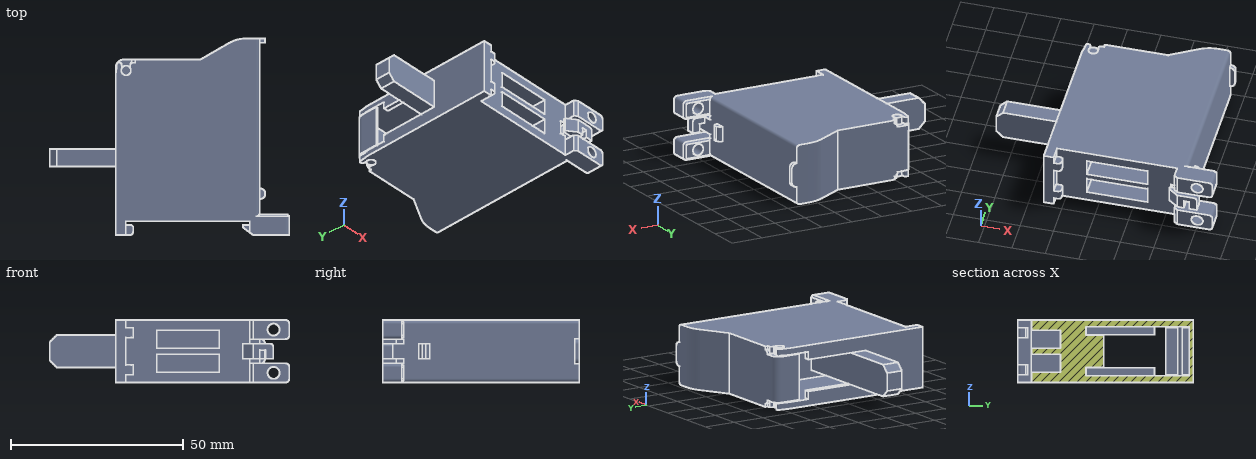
import cadquery as cq
import math


width = 18.2
half_width = width / 2
housing_length = 41.95
total_height = 57.2
belly = 4.05
shoulder = 51.1
hump_start = 24.7
hump_end = 38.0
hump_slope = math.radians(30)
right_edge_radius = 1.1

left_foot_length = 3.0
right_foot_start = 38.95
right_foot_end = 50.5
right_foot_height = 6.1
foot_gap = 7.0
foot_top_chamfer = 0.6
foot_corner_radius = 1.1
foot_hole_diameter = 3.4
foot_hole_x = 45.9
hook_top = 3.0
left_hook_end = 5.15
left_hook_width = 2.9
left_hook_center_z = 5.45
left_hook_top_chamfer = 0.55
left_hook_bottom_radius = 1.05

latch_tip = 37.0
latch_tip_bottom = 2.2
latch_slope_end = 40.0
latch_end = 45.85
latch_half_width = 2.2
latch_neck_start = 40.15
latch_corner_radius = 0.9
latch_notch_length = 1.6
latch_notch_top = 0.35

stud_reach = 1.5
knob_bottom = 10.45
knob_top = 13.65
knob_flat = 1.1
knob_bulge_reach = 1.05
knob_bulge_half = 1.2
knob_width = 4.45
tab_height = 1.3
tab_width = 7.25

wall = 1.7
cavity_depth = 20.9
cavity_top = 49.85
cavity_half_width = 7.1
window_step = 39.9
slot_start = 11.9
slot_end = 30.1
slot_width = 5.15
slot_center_z = 3.5
slot_depth = 8.35

lever_length = 19.2
lever_width = 9.55
lever_bottom = 19.9
lever_thickness = 5.15
lever_chamfer = 2.1

flap_bottom = 43.0
flap_half_width = 6.9
flap_thickness = 0.6
flap_top_thickness = 0.9
flap_corner_radius = 2.45
flap_top_end = 4.75
hinge_x = 3.1
hinge_y = 47.9
hinge_radius = 1.4
neck_half_width = 1.45
groove_end = 5.7
lip_half_width = 8.1
lip_radius = 0.9
pin_recess = 0.1

prong_top = 50.2
prong_root = 46.0
prong_front_arc = ((0.1, 46.9), (0.2, 47.75))
prong_corner_arc = ((0.4, 49.7), (0.55, 50.05), (0.9, prong_top))
prong_back_arc = ((1.2, prong_top), (1.6, 50.0), (1.8, 49.15))
ledge_arc = ((4.3, 49.15), (4.4, 49.9))

margin = 0.7


def box(x0, x1, y0, y1, z0, z1):
    return cq.Workplane("XY", origin=(x0, y0, z0)).box(x1 - x0, y1 - y0, z1 - z0, centered=False)


def slab(x0, x1, y0, y1, half_z):
    return box(x0, x1, y0, y1, -half_z, half_z)


def make_housing():
    rise = total_height - shoulder
    run = hump_end - hump_start
    slope = math.tan(hump_slope)
    radius = (run * slope - rise) / (math.sin(hump_slope) * slope - 1 + math.cos(hump_slope))

    def hump_point(angle):
        return (hump_end - radius * math.sin(angle), total_height - radius * (1 - math.cos(angle)))

    outline = (
        cq.Workplane("XY")
        .moveTo(0, 0)
        .lineTo(left_foot_length, 0)
        .lineTo(left_foot_length, belly)
        .lineTo(housing_length, belly)
        .lineTo(housing_length, total_height)
        .lineTo(hump_end, total_height)
        .threePointArc(hump_point(hump_slope / 2), hump_point(hump_slope))
        .lineTo(hump_start, shoulder)
        .lineTo(0, shoulder)
        .close()
    )
    housing = outline.extrude(half_width, both=True)
    return housing.edges("|Y and >X").fillet(right_edge_radius)


def make_right_foot():
    slope = latch_tip_bottom / (latch_slope_end - latch_tip)
    foot = (
        cq.Workplane("XY")
        .polyline([
            (right_foot_start, right_foot_height),
            (right_foot_start, (latch_slope_end - right_foot_start) * slope),
            (latch_slope_end, 0),
            (right_foot_end, 0),
            (right_foot_end, right_foot_height),
        ])
        .close()
        .extrude(half_width - foot_gap / 2)
        .translate((0, 0, foot_gap / 2))
    )
    foot = foot.edges("|Y and >X").fillet(foot_corner_radius)
    foot = foot.faces(">Y").edges().chamfer(foot_top_chamfer)
    hole = (
        cq.Workplane("XZ", origin=(foot_hole_x, 0, (half_width + foot_gap / 2) / 2))
        .circle(foot_hole_diameter / 2)
        .extrude(-right_foot_height)
    )
    return foot.cut(hole)


def make_left_hook():
    hook = slab(0, left_hook_end, 0, hook_top, left_hook_width / 2)
    hook = hook.edges("|Z and >X and >Y").chamfer(left_hook_top_chamfer)
    hook = hook.edges("|Z and >X and <Y").fillet(left_hook_bottom_radius)
    return hook.translate((0, 0, left_hook_center_z))


def make_latch():
    latch = (
        cq.Workplane("XY")
        .polyline([
            (latch_tip, hook_top),
            (latch_tip, latch_tip_bottom),
            (latch_slope_end, 0),
            (latch_end, 0),
            (latch_end, hook_top),
        ])
        .close()
        .extrude(latch_half_width, both=True)
        .edges("|Y and >X and >Z")
        .fillet(latch_corner_radius)
    )
    notch = box(
        housing_length, housing_length + latch_notch_length, -margin, hook_top + margin,
        -latch_half_width - margin, latch_notch_top,
    )
    neck = slab(latch_neck_start, housing_length, 0, right_foot_height + margin, latch_half_width)
    return latch.cut(notch).union(neck)


def make_knob():
    middle = (knob_bottom + knob_top) / 2
    flat_x = housing_length + stud_reach
    bulge_x = housing_length + knob_bulge_reach
    return (
        cq.Workplane("XY")
        .moveTo(housing_length - margin, knob_bottom)
        .lineTo(housing_length, knob_bottom)
        .threePointArc((bulge_x, middle - knob_bulge_half), (flat_x, middle - knob_flat / 2))
        .lineTo(flat_x, middle + knob_flat / 2)
        .threePointArc((bulge_x, middle + knob_bulge_half), (housing_length, knob_top))
        .lineTo(housing_length - margin, knob_top)
        .close()
        .extrude(knob_width / 2, both=True)
    )


def make_tab():
    tab_end = housing_length + stud_reach
    tab = slab(housing_length - margin, tab_end, total_height - tab_height, total_height, tab_width / 2)
    return tab.edges("|Y and >X").fillet(stud_reach)


def make_lever():
    lever = slab(
        -lever_length, cavity_depth + margin, lever_bottom, lever_bottom + lever_thickness, lever_width / 2,
    )
    return lever.edges("|Y and <X").chamfer(lever_chamfer)


def make_cavity():
    cavity = slab(wall, cavity_depth, lever_bottom, cavity_top, cavity_half_width)
    narrow_window = slab(-margin, wall, lever_bottom, window_step, lever_width / 2)
    wide_window = slab(-margin, flap_top_end, window_step, shoulder + margin, cavity_half_width)
    return cavity.union(narrow_window).union(wide_window)


def make_corner_relief():
    return (
        cq.Workplane("XY")
        .moveTo(-margin, prong_root)
        .lineTo(0, prong_root)
        .threePointArc(*prong_front_arc)
        .lineTo(*prong_corner_arc[0])
        .threePointArc(*prong_corner_arc[1:])
        .lineTo(*prong_back_arc[0])
        .threePointArc(*prong_back_arc[1:])
        .lineTo(prong_back_arc[-1][0], hinge_y)
        .lineTo(ledge_arc[0][0], hinge_y)
        .lineTo(*ledge_arc[0])
        .threePointArc(ledge_arc[1], (flap_top_end, prong_top))
        .lineTo(groove_end, prong_top)
        .lineTo(groove_end, shoulder + margin)
        .lineTo(-margin, shoulder + margin)
        .close()
        .extrude(half_width, both=True)
    )


def make_groove_lip():
    lip = slab(flap_top_end, groove_end, prong_top, shoulder, lip_half_width)
    return lip.edges("|Y and <X").fillet(lip_radius)


def make_pin(half_length):
    return cq.Workplane("XY").center(hinge_x, hinge_y).circle(hinge_radius).extrude(half_length, both=True)


def make_flap():
    shell = slab(0, flap_top_end, flap_bottom, shoulder, flap_half_width)
    shell = shell.edges("|Z and <X and >Y").fillet(flap_corner_radius)
    inside = slab(
        flap_thickness, flap_top_end, flap_bottom, shoulder - flap_top_thickness, flap_half_width,
    )
    inside = inside.edges("|Z and <X and >Y").fillet(flap_corner_radius - flap_thickness)
    neck = slab(
        hinge_x - neck_half_width, hinge_x + neck_half_width, hinge_y, shoulder - flap_top_thickness,
        flap_half_width,
    )
    return shell.cut(inside).union(neck).union(make_pin(half_width - pin_recess))


part = make_housing()
part = part.cut(make_cavity()).cut(make_corner_relief()).cut(make_pin(half_width))
part = part.cut(slab(right_foot_start, housing_length + margin, 0, right_foot_height, foot_gap / 2))

latch_pocket = slab(latch_tip, latch_neck_start, hook_top, right_foot_height, latch_half_width)
part = part.cut(latch_pocket)

for center_z in (-slot_center_z, slot_center_z):
    slot = slab(slot_start, slot_end, belly - margin, belly + slot_depth, slot_width / 2)
    part = part.cut(slot.translate((0, 0, center_z)))

for feature in (make_right_foot(), make_left_hook()):
    part = part.union(feature).union(feature.mirror("XY"))

for feature in (make_latch(), make_knob(), make_tab(), make_lever(), make_flap(), make_groove_lip()):
    part = part.union(feature)

result = part.solids()